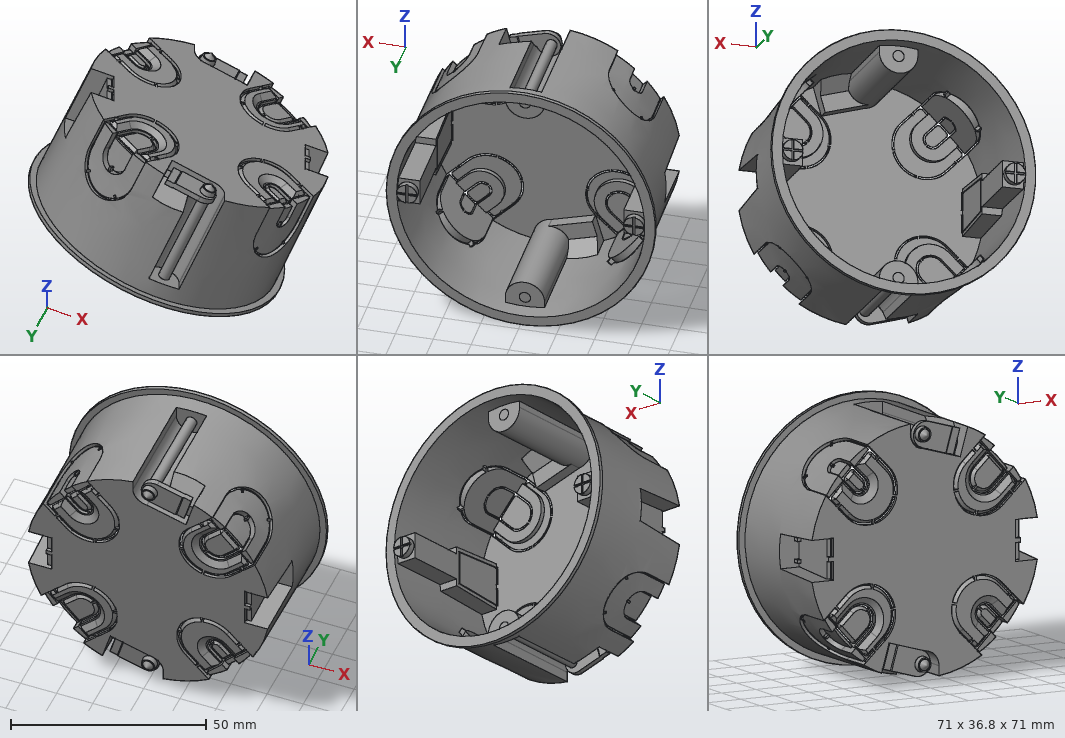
import cadquery as cq
import math


rim_radius = 35.5
rim_thickness = 1.1
box_height = 35.0
wall_top_radius = 33.7
wall_bottom_radius = 33.45
wall_thickness = 1.0
floor_thickness = 0.9
reach = 42.6
embed = 0.35

screw_offset = 29.95
claw_screw_radius = 1.5
claw_screw_tip = 1.4
channel_radius = 4.2
channel_offset = 30.5
channel_top = 29.6
claw_angle = 16.0
pocket_length = 11.85
pocket_half_width = 3.55
pocket_depth = 3.1
pocket_ramp_start = 0.0
pocket_ramp_run = 5.1

claw_half_width = 3.5
claw_end_shift = 1.1
claw_length = 10.65
claw_bottom = 1.4
claw_thickness = 1.5
claw_bend = 8.25
tooth_start = 8.5
tooth_top = 3.05
tooth_rise = 0.2
collar_radius = 2.05
collar_tip_radius = 1.85

device_head_radius = 2.7
device_head_thickness = 1.7
device_head_top = box_height + 0.4
device_shank_radius = 1.5
device_shank_length = 10.65
drive_slot_width = 0.6
post_half_width = 3.55

window_height = 16.05
window_top_half_width = 4.55
window_bottom_half_width = 5.5
window_floor_edge = 26.6
panel_inner_face = 26.9
panel_outer_face = 28.1
panel_side_gap = 0.2
panel_top_gap = 0.4
nub_spacing = 5.7
nub_length = 1.5
nub_width = 0.9
nub_height = 1.0
window_bridge_width = 1.2

knockout_radius = 8.6
knockout_center = 23.35
knockout_wall_center = 8.8
knockout_chord = 30.25
knockout_gap = 0.4
wall_plug_recess = 0.7
bevel_width = 0.85
bridge_width = 0.6
floor_bridge_angle = 33.0
wall_bridge_angle = 43.0
leg_bridge_place = 27.5
wall_bridge_outer = 32.6
dish_depth = 1.3
dish_rim = 0.9

small_entry = (2.35, 25.85, 4.7, 8.1, 1.4)
large_entry = (4.1, 24.85, 6.2, 10.1, 2.0)
knockouts = [(43.0, large_entry), (135.0, small_entry), (223.0, large_entry), (315.0, small_entry)]


def floor_plane(y):
    """Plane across the box axis: local x is +X, local y is +Z and the normal points to -Y."""
    return cq.Workplane("XZ", origin=(0, y, 0))


def block(x0, x1, y0, y1, z0, z1):
    return cq.Workplane("XY").box(x1 - x0, y1 - y0, z1 - z0, centered=False).translate((x0, y0, z0))


def cylinder(radius, y0, y1, x=0.0, z=0.0):
    return floor_plane(y0).center(x, z).circle(radius).extrude(y0 - y1)


def turned(shape, angle):
    """Turn a shape about the box axis, from +X towards +Z."""
    return shape.rotate((0, 0, 0), (0, 1, 0), -angle)


def wall_radius_at(y):
    return wall_bottom_radius + (wall_top_radius - wall_bottom_radius) * y / box_height


def drafted_solid(bottom, inset):
    """Solid inside the drafted wall, from the given height to the rim."""
    return (
        cq.Workplane("XY")
        .polyline([
            (0, bottom),
            (wall_radius_at(bottom) - inset, bottom),
            (wall_top_radius - inset, box_height),
            (0, box_height),
        ])
        .close()
        .revolve(360, (0, 0, 0), (0, 1, 0))
    )


envelope = drafted_solid(0, 0)


def shell():
    rim = cylinder(rim_radius, box_height - rim_thickness, box_height)
    return envelope.union(rim).cut(drafted_solid(floor_thickness, wall_thickness))


def claw_frame(shape):
    """Move a shape built around the Y axis, pointing along +X, to the claw screw at +Z."""
    return shape.rotate((0, 0, 0), (0, 1, 0), claw_angle).translate((0, 0, screw_offset))


def claw_pocket(grow):
    """Pocket around one claw with a 45 degree ramp rising outwards; grow gives the shape around it."""
    inner = -pocket_half_width - grow
    flat_top = pocket_depth + grow
    length = pocket_length + grow
    profile = [
        (0, inner),
        (flat_top, inner),
        (flat_top, pocket_ramp_start),
        (flat_top + pocket_ramp_run, pocket_ramp_start + pocket_ramp_run),
        (0, pocket_ramp_start + pocket_ramp_run),
    ]
    return claw_frame(cq.Workplane("YZ").polyline(profile).close().extrude(length))


def claw_channel(grow):
    """Round-bottomed channel for the claw screw, open through the wall."""
    radius = channel_radius + grow
    top = channel_top + grow
    round_bottom = cylinder(radius, 0, top, 0, channel_offset)
    return round_bottom.union(block(-radius, radius, 0, top, channel_offset, reach))


def trapezoid(x0, x1, y0, y1, grow):
    """Slab between x0 and x1 that follows the tapered window sides, moved outwards by grow."""
    slope = (window_bottom_half_width - window_top_half_width) / window_height
    half_0 = window_bottom_half_width - slope * y0 + grow
    half_1 = window_bottom_half_width - slope * y1 + grow
    points = [(y0, -half_0), (y1, -half_1), (y1, half_1), (y0, half_0)]
    return cq.Workplane("YZ", origin=(x0, 0, 0)).polyline(points).close().extrude(x1 - x0)


def window_surround():
    return trapezoid(panel_inner_face, reach, 0, window_height + wall_thickness, wall_thickness)


def window_opening():
    return trapezoid(window_floor_edge, reach, 0, window_height, 0)


def window_panel():
    panel_top = window_height - panel_top_gap
    panel = trapezoid(panel_inner_face, panel_outer_face, floor_thickness, panel_top, -panel_side_gap)
    half_bridge = window_bridge_width / 2
    panel = panel.union(
        block(window_floor_edge - embed, panel_outer_face, 0, floor_thickness, -half_bridge, half_bridge)
    )
    for z in (-nub_spacing / 2, nub_spacing / 2):
        panel = panel.union(
            block(
                panel_outer_face - embed,
                panel_outer_face + nub_height,
                window_height - nub_length,
                window_height + embed,
                z - nub_width / 2,
                z + nub_width / 2,
            )
        )
    return panel


def device_post():
    post_top = device_head_top - device_head_thickness
    return block(panel_inner_face, reach, window_height, post_top, -post_half_width, post_half_width)


def floor_u(radius, center, end, y0, y1, taper=0.0):
    """U-shaped plate across the box axis, round towards the axis and square at x = end."""
    return (
        floor_plane(y0)
        .moveTo(end, radius)
        .lineTo(center, radius)
        .threePointArc((center - radius, 0), (center, -radius))
        .lineTo(end, -radius)
        .close()
        .extrude(y0 - y1, taper=taper)
    )


def wall_u(radius, center, bottom, x0, x1):
    """Arched slab between x0 and x1, round at the top and square at the bottom."""
    return (
        cq.Workplane("YZ", origin=(x0, 0, 0))
        .moveTo(bottom, radius)
        .lineTo(center, radius)
        .threePointArc((center + radius, 0), (center, -radius))
        .lineTo(bottom, -radius)
        .close()
        .extrude(x1 - x0)
    )


def bevelled_plug(radius, center, end, y0):
    """Floor plug with bevelled edges, narrow at its outer face y0."""
    taper = -math.degrees(math.atan(bevel_width / floor_thickness))
    return floor_u(
        radius - knockout_gap - bevel_width, center, end - bevel_width, y0, y0 + floor_thickness, taper
    )


def floor_bridge(radius, center, angle, y0):
    """Small bar across the gap of a floor plug, at an angle from the apex of its arc."""
    bar = block(
        center - radius - knockout_gap,
        center - radius + knockout_gap + bevel_width + embed,
        y0,
        y0 + floor_thickness,
        -bridge_width / 2,
        bridge_width / 2,
    )
    return bar.rotate((center, 0, 0), (center, 1, 0), angle)


def wall_bridge(radius, center, angle):
    """Small bar across the gap of a wall plug, at an angle from the apex of its arc."""
    bar = block(
        knockout_chord + knockout_gap,
        wall_bridge_outer,
        center + radius - 3 * knockout_gap,
        center + radius + 2 * knockout_gap,
        -bridge_width / 2,
        bridge_width / 2,
    )
    return bar.rotate((0, center, 0), (1, center, 0), angle)


def knockout_opening():
    floor_part = floor_u(knockout_radius, knockout_center, reach, 0, floor_thickness)
    wall_part = wall_u(knockout_radius, knockout_wall_center, 0, knockout_chord, reach)
    return floor_part.union(wall_part)


def floor_knockout(inner_radius, inner_center, dish_radius):
    """Bevelled floor plug with a sunk dish that carries a smaller plug."""
    end = knockout_chord
    dish_top = dish_depth + floor_thickness
    plug = bevelled_plug(knockout_radius, knockout_center, end, 0)
    plug = plug.union(floor_u(dish_radius + dish_rim, inner_center, end, floor_thickness, dish_top))
    dish_taper = math.degrees(math.atan((dish_radius - inner_radius - knockout_gap) / dish_depth))
    plug = plug.cut(floor_u(dish_radius, inner_center, reach, 0, dish_depth, dish_taper))
    plug = plug.cut(floor_u(inner_radius, inner_center, reach, dish_depth, dish_top))
    plug = plug.union(bevelled_plug(inner_radius, inner_center, end, dish_depth))
    plug = plug.union(floor_bridge(inner_radius, inner_center, 0, dish_depth))
    for angle in (-floor_bridge_angle, floor_bridge_angle):
        plug = plug.union(floor_bridge(knockout_radius, knockout_center, angle, 0))
    for angle in (-90, 90):
        bar = floor_bridge(knockout_radius, knockout_center, angle, 0)
        plug = plug.union(bar.translate((leg_bridge_place - knockout_center, 0, 0)))
    return plug


def wall_knockout(inner_radius, inner_top, inner_recess):
    """Flat-backed wall plug with a smaller plug inside it."""
    back = knockout_chord + knockout_gap
    inner_center = inner_top - inner_radius
    plug = wall_u(knockout_radius - knockout_gap, knockout_wall_center, floor_thickness, back, reach)
    plug = plug.intersect(drafted_solid(0, wall_plug_recess))
    plug = plug.cut(wall_u(inner_radius, inner_center, 0, 0, reach))
    inner_plug = wall_u(inner_radius - knockout_gap, inner_center, dish_depth + floor_thickness, back, reach)
    plug = plug.union(inner_plug.intersect(drafted_solid(0, inner_recess)))
    plug = plug.union(wall_bridge(inner_radius, inner_center, 0))
    for angle in (-wall_bridge_angle, wall_bridge_angle):
        plug = plug.union(wall_bridge(knockout_radius, knockout_wall_center, angle))
    return plug


def make_housing():
    body = shell()
    for angle in (0, 180):
        surround = claw_pocket(wall_thickness).union(claw_channel(wall_thickness))
        body = body.union(turned(surround.intersect(envelope), angle))
        side = window_surround().union(device_post())
        body = body.union(turned(side.intersect(envelope), angle))
    for angle in (0, 180):
        body = body.cut(turned(claw_pocket(0), angle))
        body = body.cut(turned(claw_channel(0), angle))
        body = body.cut(turned(claw_screw_hole(), angle))
        body = body.cut(turned(window_opening(), angle))
        body = body.union(turned(window_panel(), angle))
        body = body.cut(turned(device_shank(), angle))
    for angle, (inner_radius, inner_center, dish_radius, inner_top, inner_recess) in knockouts:
        body = body.cut(turned(knockout_opening(), angle))
        body = body.union(turned(floor_knockout(inner_radius, inner_center, dish_radius), angle))
        body = body.union(turned(wall_knockout(inner_radius, inner_top, inner_recess), angle))
    return body


def claw_screw_hole():
    return cylinder(claw_screw_radius, 0, channel_top + wall_thickness, 0, screw_offset)


def make_claw_screw():
    """Plain shank that passes the claw and ends in a cone below the floor."""
    cone = cq.Workplane(
        cq.Solid.makeCone(
            claw_screw_radius, 0, claw_screw_tip, cq.Vector(0, 0, screw_offset), cq.Vector(0, -1, 0)
        )
    )
    return claw_screw_hole().union(cone)


def make_claw():
    """Plate with a round end, a collar around the screw and a tooth at its free end."""
    top = claw_bottom + claw_thickness
    plate = cylinder(claw_half_width, claw_bottom, top, claw_end_shift)
    plate = plate.union(
        block(claw_end_shift, claw_bend, claw_bottom, top, -claw_half_width, claw_half_width)
    )
    tooth = (
        cq.Workplane("XY", origin=(0, 0, -claw_half_width))
        .polyline([
            (claw_bend, claw_bottom),
            (tooth_start, claw_bottom + tooth_rise),
            (claw_length, claw_bottom + tooth_rise),
            (claw_length, tooth_top),
            (tooth_start, tooth_top),
            (claw_bend, top),
        ])
        .close()
        .extrude(2 * claw_half_width)
    )
    collar = cq.Workplane(
        cq.Solid.makeCone(
            collar_tip_radius, collar_radius, claw_bottom, cq.Vector(0, 0, 0), cq.Vector(0, 1, 0)
        )
    )
    return claw_frame(plate.union(tooth).union(collar)).cut(claw_screw_hole())


def device_shank():
    head_bottom = device_head_top - device_head_thickness
    return cylinder(device_shank_radius, head_bottom - device_shank_length, head_bottom, screw_offset)


def make_device_screw():
    """Flat-headed screw with a cross slot, standing slightly proud of the rim."""
    head_bottom = device_head_top - device_head_thickness
    head = cylinder(device_head_radius, head_bottom, device_head_top, screw_offset)
    half_slot = drive_slot_width / 2
    for angle in (0, 90):
        slot = block(-reach, reach, box_height, device_head_top, -half_slot, half_slot)
        head = head.cut(turned(slot, angle).translate((screw_offset, 0, 0)))
    return head.union(device_shank())


housing = make_housing()
claws = [turned(make_claw(), angle) for angle in (0, 180)]
claw_screws = [turned(make_claw_screw(), angle) for angle in (0, 180)]
device_screws = [turned(make_device_screw(), angle) for angle in (0, 180)]

result = cq.Compound.makeCompound(
    [housing.val()] + [body.val() for body in claws + claw_screws + device_screws]
)